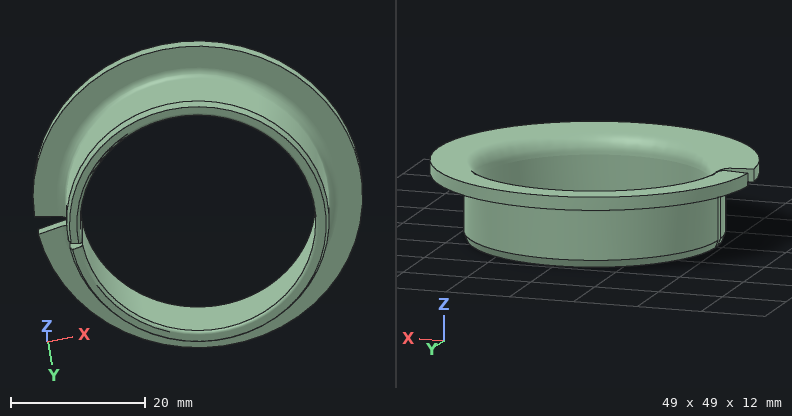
import cadquery as cq
import math

flange_diameter = 49.0
bore_diameter = 34.95
height = 12.0
wall = 2.0
bend_radius = 3.5
tip_chamfer_height = 1.2
tip_chamfer_angle = 20.0
bore_edge_radius = 0.5
slit_edge_angle = 10.0
slit_inner_gap = 0.45

flange_radius = flange_diameter / 2
bore_radius = bore_diameter / 2
sleeve_radius = bore_radius + wall
outer_bend_radius = bend_radius - wall
bend_center_radius = bore_radius + bend_radius
bend_center_z = height - bend_radius
flange_bottom_z = height - wall
tip_chamfer_width = tip_chamfer_height * math.tan(math.radians(tip_chamfer_angle))
diagonal = math.sqrt(0.5)


def quarter_arc_midpoint(center_radius, center_z, radius, z_direction):
    """Middle of a quarter circle on the bore-facing side of its center."""
    return (-center_radius + radius * diagonal, center_z + z_direction * radius * diagonal)


def flanged_sleeve():
    """Sleeve and flange revolved about Z from the -X side, joined by concentric bends."""
    edge_center_radius = bore_radius + bore_edge_radius
    edge_middle = quarter_arc_midpoint(edge_center_radius, bore_edge_radius, bore_edge_radius, -1)
    outer_middle = quarter_arc_midpoint(bend_center_radius, bend_center_z, outer_bend_radius, 1)
    inner_middle = quarter_arc_midpoint(bend_center_radius, bend_center_z, bend_radius, 1)
    return (
        cq.Workplane("XZ")
        .moveTo(-bore_radius, bore_edge_radius)
        .threePointArc(edge_middle, (-edge_center_radius, 0))
        .lineTo(-sleeve_radius + tip_chamfer_width, 0)
        .lineTo(-sleeve_radius, tip_chamfer_height)
        .lineTo(-sleeve_radius, bend_center_z)
        .threePointArc(outer_middle, (-bend_center_radius, flange_bottom_z))
        .lineTo(-flange_radius, flange_bottom_z)
        .lineTo(-flange_radius, height)
        .lineTo(-bend_center_radius, height)
        .threePointArc(inner_middle, (-bore_radius, bend_center_z))
        .close()
        .revolve(360, (0, 0), (0, 1))
    )


def slit_wedge():
    """Full-height wedge that opens outward through the -X side."""
    slope = math.tan(math.radians(slit_edge_angle))
    apex_x = -bore_radius + slit_inner_gap / 2 / slope
    half_width = (flange_diameter + apex_x) * slope
    return (
        cq.Workplane("XY")
        .polyline([(apex_x, 0), (-flange_diameter, half_width), (-flange_diameter, -half_width)])
        .close()
        .extrude(height)
    )


result = flanged_sleeve().cut(slit_wedge())